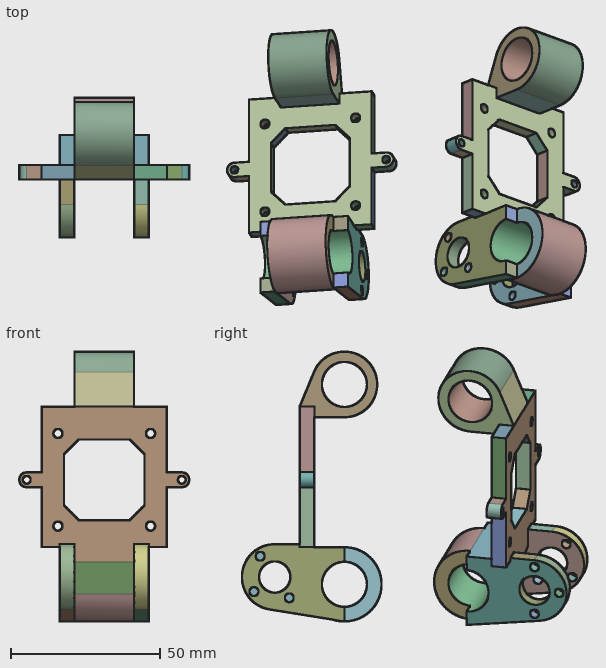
import cadquery as cq
import math

thickness = 5.0
barrel_width = 20.0
bore_diameter = 15.0
hinge_y = 15.0

lower_radius = 12.5
web_front_z = 7.5

upper_radius = 11.0
upper_z = 67.0

plate_width = 42.0
plate_height = 47.1
plate_bottom = lower_radius
plate_top = plate_bottom + plate_height

pattern_z = 35.0
window_size = 27.0
window_chamfer = 5.0
screw_spacing = 31.0
screw_diameter = 3.0

tab_hole_x = 26.0
tab_radius = 2.5
tab_hole_diameter = 2.5

cheek_y = -8.3
cheek_z = 2.4
cheek_radius = 11.0
cheek_bore_diameter = 10.4
cheek_hole_circle_radius = 8.5
cheek_hole_angles = (-90, 90, 180)
right_cheek_turn = 35


def tangent_point(point, center, radius, side):
    """Touching point of the tangent from point to a circle; side (+1 or -1) picks which tangent."""
    dy = center[0] - point[0]
    dz = center[1] - point[1]
    distance = math.hypot(dy, dz)
    length = math.sqrt(distance**2 - radius**2)
    angle = math.atan2(dz, dy) + side * math.asin(radius / distance)
    return (point[0] + length * math.cos(angle), point[1] + length * math.sin(angle))


def side_plane(x):
    """YZ sketch plane at the given X, extruding toward +X."""
    return cq.Workplane("YZ", origin=(x, 0, 0))


def cylinder_x(x, width, y, z, diameter):
    return side_plane(x).center(y, z).circle(diameter / 2).extrude(width)


def front_plane():
    """XZ sketch plane on the front face; a negative extrusion goes toward +Y, into the plate."""
    return cq.Workplane("XZ")


def make_plate():
    plate = front_plane().center(0, (plate_bottom + plate_top) / 2)
    plate = plate.rect(plate_width, plate_height).extrude(-thickness)

    tabs = front_plane().center(0, pattern_z)
    tabs = tabs.slot2D(2 * (tab_hole_x + tab_radius), 2 * tab_radius).extrude(-thickness)

    window = front_plane().center(0, pattern_z).rect(window_size, window_size).extrude(-thickness)
    window = window.edges("|Y").chamfer(window_chamfer)

    screws = front_plane().center(0, pattern_z)
    screws = screws.rect(screw_spacing, screw_spacing, forConstruction=True).vertices()
    screws = screws.circle(screw_diameter / 2).extrude(-thickness)

    tab_holes = front_plane().pushPoints([(-tab_hole_x, pattern_z), (tab_hole_x, pattern_z)])
    tab_holes = tab_holes.circle(tab_hole_diameter / 2).extrude(-thickness)

    return plate.union(tabs).cut(window).cut(screws).cut(tab_holes)


def make_upper_barrel():
    corner = (0, plate_top)
    bottom = upper_z - upper_radius
    touch = tangent_point(corner, (hinge_y, upper_z), upper_radius, 1)
    return (
        side_plane(-barrel_width / 2)
        .moveTo(0, bottom)
        .lineTo(*corner)
        .lineTo(*touch)
        .threePointArc((hinge_y + upper_radius, upper_z), (hinge_y, bottom))
        .close()
        .extrude(barrel_width)
    )


def make_lower_barrel():
    corner = (0, web_front_z)
    touch = tangent_point(corner, (hinge_y, 0), lower_radius, -1)
    back = (hinge_y + lower_radius, 0)
    return (
        side_plane(-barrel_width / 2)
        .moveTo(0, plate_bottom)
        .lineTo(*corner)
        .lineTo(*touch)
        .threePointArc(back, (hinge_y, lower_radius))
        .close()
        .extrude(barrel_width)
    )


def make_cheek(x, pattern_turn):
    back_corner = (hinge_y, -lower_radius)
    top = cheek_z + cheek_radius
    touch = tangent_point(back_corner, (cheek_y, cheek_z), cheek_radius, 1)
    cheek = (
        side_plane(x)
        .moveTo(*back_corner)
        .lineTo(*touch)
        .threePointArc((cheek_y - cheek_radius, cheek_z), (cheek_y, top))
        .lineTo(0, top)
        .lineTo(0, plate_bottom)
        .lineTo(hinge_y, plate_bottom)
        .close()
        .extrude(thickness)
    )
    cheek = cheek.cut(cylinder_x(x, thickness, cheek_y, cheek_z, cheek_bore_diameter))
    for hole_angle in cheek_hole_angles:
        angle = math.radians(hole_angle + pattern_turn)
        hole_y = cheek_y + cheek_hole_circle_radius * math.cos(angle)
        hole_z = cheek_z + cheek_hole_circle_radius * math.sin(angle)
        cheek = cheek.cut(cylinder_x(x, thickness, hole_y, hole_z, screw_diameter))
    return cheek


result = make_plate().union(make_upper_barrel()).union(make_lower_barrel())
result = result.union(make_cheek(-barrel_width / 2 - thickness, 0))
result = result.union(make_cheek(barrel_width / 2, right_cheek_turn))

hinge_width = barrel_width + 2 * thickness
for hinge_z in (0, upper_z):
    result = result.cut(cylinder_x(-hinge_width / 2, hinge_width, hinge_y, hinge_z, bore_diameter))